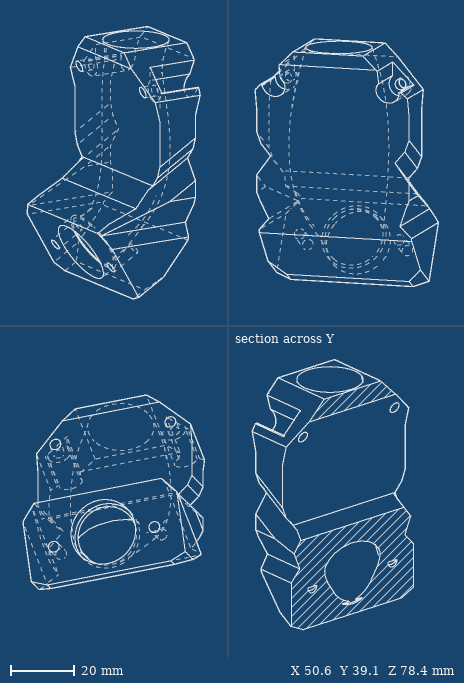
import cadquery as cq
import math


HALF_WIDTH = 50.55 / 2
HEIGHT = 78.37
HEAD_HALF_DEPTH = 11.7
TIP_Y = -27.36
TILT = math.radians(30)
CUT = 60.0

HEAD_BASE_Z = -4.3
SHOULDER_Z = -13.8
WAIST_TOP_Z = -20.0
SHOULDER_FRONT_Y = -8.6
SHOULDER_BACK_Y = 8.1
WAIST_FRONT_Y = -6.94
WAIST_BACK_Y = 6.4
WAIST_FRONT_END_Z = -42.1
ROOF_BREAK = (-13.8, -48.4)
TIP_Z = -54.8
WAIST_BACK_END_Z = -49.4
HEEL = (3.6, -60.4)
LIP_LENGTH = 4.9

FACE_HEIGHT = (HEIGHT + TIP_Z) / math.cos(TILT)
TOE_Y = TIP_Y + FACE_HEIGHT * math.sin(TILT)
FACE_CENTER_Y = (TIP_Y + TOE_Y) / 2
FACE_CENTER_Z = (TIP_Z - HEIGHT) / 2
TOE_CHAMFER_X = 5.0
TOE_CHAMFER_HEIGHT = 2.1

TOP_HALF_WIDTH = 11.65
SLOPE_END_Z = TOP_HALF_WIDTH - HALF_WIDTH

GROOVE = [(HALF_WIDTH, -20.5), (23.85, -17.2), (20.6, -13.95), (HALF_WIDTH, -8.43)]
NOTCH_TOP_Z = -46.8
NOTCH_ROOT_Z = -55.5
NOTCH_BOTTOM_Z = -59.4
NOTCH_ROOT_X = 21.75

SCREW_DIAMETER = 3.5
HEAD_SCREW_X = 18.86
HEAD_SCREW_Z = -11.7
SCREW_POCKET_DIAMETER = 7.5
POCKET_FLOOR_Y = -4.9
POCKET_INNER_X = 16.3
FACE_SCREW_X = 16.5
FACE_SCREW_DROP = 1.66
FACE_SCREW_DEPTH = 10.0

BORE_DIAMETER = 21.0
OUTLET_DIAMETER = 19.0
OUTLET_RECESS = 5.4
DUCT_WIDTH = 32.0
DUCT_DEPTH = 8.8
DUCT_CENTER_Y = (WAIST_FRONT_Y + WAIST_BACK_Y) / 2
DUCT_WAIST_TOP_Z = -24.0
DUCT_WAIST_BOTTOM_Z = -40.0


def face_plane(inset=0.0):
    """Plane parallel to the outlet face: local x is X, local y runs down the face, normal inward."""
    inward = (0, math.cos(TILT), math.sin(TILT))
    origin = (0, FACE_CENTER_Y + inset * inward[1], FACE_CENTER_Z + inset * inward[2])
    return cq.Workplane(cq.Plane(origin=origin, xDir=(1, 0, 0), normal=inward))


def on_both_sides(shape):
    return shape.union(shape.mirror("YZ"))


def body():
    lip_run = LIP_LENGTH * math.cos(TILT)
    lip_rise = LIP_LENGTH * math.sin(TILT)
    profile = [
        (-HEAD_HALF_DEPTH, 0),
        (-HEAD_HALF_DEPTH, HEAD_BASE_Z),
        (SHOULDER_FRONT_Y, SHOULDER_Z),
        (WAIST_FRONT_Y, WAIST_TOP_Z),
        (WAIST_FRONT_Y, WAIST_FRONT_END_Z),
        ROOF_BREAK,
        (TIP_Y + lip_run, TIP_Z + lip_rise),
        (TIP_Y, TIP_Z),
        (TOE_Y, -HEIGHT),
        (TOE_Y + lip_run, lip_rise - HEIGHT),
        HEEL,
        (WAIST_BACK_Y, WAIST_BACK_END_Z),
        (WAIST_BACK_Y, WAIST_TOP_Z),
        (SHOULDER_BACK_Y, SHOULDER_Z),
        (HEAD_HALF_DEPTH, HEAD_BASE_Z),
        (HEAD_HALF_DEPTH, 0),
    ]
    return cq.Workplane("YZ").polyline(profile).close().extrude(HALF_WIDTH, both=True)


def prism_along_y(points):
    return cq.Workplane("XZ").polyline(points).close().extrude(CUT, both=True)


def head_slope():
    return prism_along_y([(TOP_HALF_WIDTH, 0), (HALF_WIDTH, SLOPE_END_Z), (HALF_WIDTH, 0)])


def side_notch():
    return prism_along_y(
        [(HALF_WIDTH, NOTCH_TOP_Z), (NOTCH_ROOT_X, NOTCH_ROOT_Z), (HALF_WIDTH, NOTCH_BOTTOM_Z)]
    )


def side_groove():
    return face_plane(-CUT / 2).polyline(GROOVE).close().extrude(2 * CUT)


def toe_chamfer():
    toe = FACE_HEIGHT / 2
    corner = [
        (HALF_WIDTH, toe),
        (HALF_WIDTH, toe - TOE_CHAMFER_HEIGHT),
        (HALF_WIDTH - TOE_CHAMFER_X, toe),
    ]
    return face_plane(-CUT / 2).polyline(corner).close().extrude(CUT)


def head_screw():
    """Through hole with a round pocket from the back that opens up through the sloped side."""
    opening_outline = [
        (POCKET_INNER_X, HEAD_SCREW_Z),
        (HALF_WIDTH, HEAD_SCREW_Z),
        (HALF_WIDTH, 0),
        (POCKET_INNER_X, 0),
    ]
    hole = cq.Workplane("XZ").center(HEAD_SCREW_X, HEAD_SCREW_Z).circle(SCREW_DIAMETER / 2)
    floor = cq.Workplane("XZ", origin=(0, POCKET_FLOOR_Y, 0))
    pocket = floor.moveTo(HEAD_SCREW_X, HEAD_SCREW_Z).circle(SCREW_POCKET_DIAMETER / 2).extrude(-CUT)
    opening = cq.Workplane(floor.plane).polyline(opening_outline).close().extrude(-CUT)
    return hole.extrude(CUT, both=True).union(pocket).union(opening)


def face_screw():
    center = face_plane().center(FACE_SCREW_X, FACE_SCREW_DROP)
    return center.circle(SCREW_DIAMETER / 2).extrude(FACE_SCREW_DEPTH)


def duct():
    """Smooth transition from a round inlet through a flat waist and bend to a round recessed outlet."""
    waist_plane = cq.Workplane("XY", origin=(0, DUCT_CENTER_Y, 0))
    sections = [
        cq.Workplane("XY").circle(BORE_DIAMETER / 2),
        waist_plane.workplane(offset=DUCT_WAIST_TOP_Z).slot2D(DUCT_WIDTH, DUCT_DEPTH),
        waist_plane.workplane(offset=DUCT_WAIST_BOTTOM_Z).slot2D(DUCT_WIDTH, DUCT_DEPTH),
        face_plane(OUTLET_RECESS).circle(OUTLET_DIAMETER / 2),
    ]
    passage = cq.Solid.makeLoft([section.wires().val() for section in sections])
    recess = face_plane().circle(BORE_DIAMETER / 2).extrude(OUTLET_RECESS)
    return recess.union(cq.Workplane(passage))


result = body()
for cutter in (head_slope, side_notch, side_groove, toe_chamfer, head_screw, face_screw):
    result = result.cut(on_both_sides(cutter()))
result = result.cut(duct())